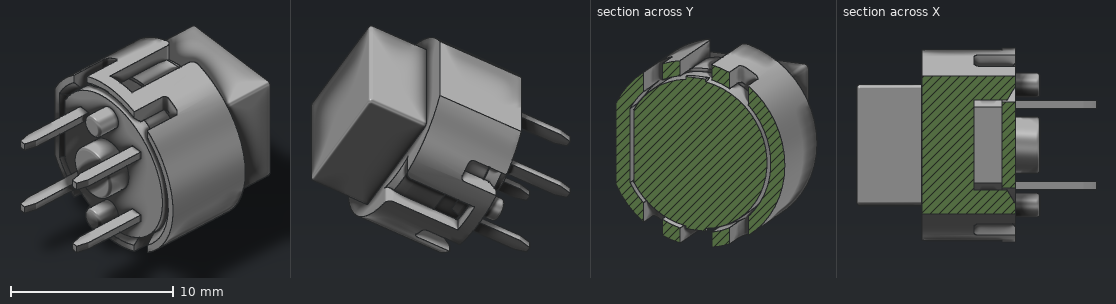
import cadquery as cq


housing_radius = 6.0
flat_distance = 5.39
housing_length = 5.8
wall = 0.98
rim_chamfer = 0.52

flange_clearance = 0.05
flange_length = 0.85
neck_step = 0.22
neck_end = 2.56
pad_end = 4.68
taper_end = 5.39
taper_drop = 0.1
back_drop = 0.3

window_width = 2.1
window_start = flange_length
window_corner = housing_length - taper_end

wedge_ridge = 1.07
wedge_end = 1.57
wedge_base_width = 1.35
wedge_tip_width = 1.17
wedge_top = 4.93

notch_center = 2.89
notch_width = 1.26
notch_corner = 0.3
notch_floor = 2.96

cap_side = 7.49
cap_height = 4.0
cap_corner = 0.3
cap_edge = 0.2

center_peg_diameter = 3.5
side_peg_diameter = 1.5
side_peg_offset = 3.7
peg_height = 1.5
peg_round = 0.19

pin_offset = 2.5
pin_length = 5.0
pin_width = 0.8
pin_tip_width = 0.4
pin_tip_length = 0.8
pin_thickness = 0.52

bore_radius = housing_radius - wall
neck_radius = bore_radius - neck_step
flange_radius = bore_radius - flange_clearance
SIDES = (-1, 1)


def inside_of_flat(inset):
    """Large block on the axis side of the flat, moved inward by the inset."""
    size = 3 * housing_radius
    block = cq.Workplane("XY").box(size, size, size, centered=(False, True, True))
    return block.translate((inset - flat_distance, 0, 0))


def flatted_disc(radius, length, inset):
    """Disc from the rim plane toward +Y, with a flat moved inward by the inset."""
    disc = cq.Workplane("XZ").circle(radius).extrude(-length)
    return disc.intersect(inside_of_flat(inset))


def make_shell():
    """Cup with a bevelled rim, closed behind the neck of the body."""
    outside = flatted_disc(housing_radius, housing_length, 0)
    bore = flatted_disc(bore_radius, neck_end, wall)
    shell = outside.cut(bore)
    rim_wire = shell.faces("<Y").val().innerWires()[0]
    return shell.newObject(rim_wire.Edges()).chamfer(rim_chamfer)


def window_cutter(side):
    """Slot open at the back of the shell, flaring there over rounded corners."""
    half = window_width / 2
    back = housing_length
    profile = (
        cq.Workplane("XY")
        .moveTo(-half, window_start)
        .lineTo(half, window_start)
        .lineTo(half, back - window_corner)
        .radiusArc((half + window_corner, back), window_corner)
        .lineTo(-half - window_corner, back)
        .radiusArc((-half, back - window_corner), window_corner)
        .close()
    )
    return profile.extrude(side * housing_radius).translate((0, 0, side * cap_side / 2))


def notch_cutter(x_side, z_side):
    """Slot open at the rim, with round corners at its closed end."""
    height = housing_radius - notch_floor
    return (
        cq.Workplane("XY")
        .box(notch_width, 2 * neck_end, height)
        .edges("|Z and >Y")
        .fillet(notch_corner)
        .translate((x_side * notch_center, 0, z_side * (notch_floor + height / 2)))
    )


def make_body():
    """Stepped core: flange, neck, and a seat that fills the shell bore."""
    flange = flatted_disc(flange_radius, flange_length, wall + flange_clearance)
    taper_radius = bore_radius - taper_drop
    core = (
        cq.Workplane("XY")
        .lineTo(neck_radius, 0)
        .lineTo(neck_radius, neck_end)
        .lineTo(bore_radius, neck_end)
        .lineTo(bore_radius, pad_end)
        .lineTo(taper_radius, taper_end)
        .lineTo(taper_radius - back_drop, housing_length)
        .lineTo(0, housing_length)
        .close()
        .revolve(360, (0, 0), (0, 1))
    )
    return flange.union(core.intersect(inside_of_flat(wall + neck_step)))


def make_wedge(side):
    """Snap wedge behind the flange, sloping down to the neck."""
    plan = (
        cq.Workplane("XY")
        .moveTo(-wedge_base_width / 2, 0)
        .lineTo(wedge_base_width / 2, 0)
        .lineTo(wedge_base_width / 2, wedge_ridge)
        .lineTo(wedge_tip_width / 2, wedge_end)
        .lineTo(-wedge_tip_width / 2, wedge_end)
        .lineTo(-wedge_base_width / 2, wedge_ridge)
        .close()
        .extrude(side * flange_radius)
    )
    slope = (
        cq.Workplane("YZ")
        .moveTo(flange_length / 2, 0)
        .lineTo(flange_length / 2, side * neck_radius)
        .lineTo(flange_length, side * wedge_top)
        .lineTo(wedge_ridge, side * wedge_top)
        .lineTo(wedge_end, side * neck_radius)
        .lineTo(wedge_end, 0)
        .close()
        .extrude(wedge_base_width, both=True)
    )
    return plan.intersect(slope)


def make_cap():
    """Square cap with rounded edges, rooted in the body."""
    return (
        cq.Workplane("XZ", origin=(0, pad_end, 0))
        .rect(cap_side, cap_side)
        .extrude(pad_end - housing_length - cap_height)
        .edges("|Y")
        .fillet(cap_corner)
        .faces(">Y")
        .edges()
        .fillet(cap_edge)
    )


def make_peg(diameter, z):
    """Round peg with a rounded end, rooted in the flange."""
    return (
        cq.Workplane("XZ", origin=(0, flange_length, z))
        .circle(diameter / 2)
        .extrude(flange_length + peg_height)
        .faces("<Y")
        .edges()
        .fillet(peg_round)
    )


def make_pin(x, z):
    """Flat pin with a tapered tip, rooted in the flange."""
    return (
        cq.Workplane("XY")
        .moveTo(-pin_width / 2, flange_length)
        .lineTo(-pin_width / 2, pin_tip_length - pin_length)
        .lineTo(-pin_tip_width / 2, -pin_length)
        .lineTo(pin_tip_width / 2, -pin_length)
        .lineTo(pin_width / 2, pin_tip_length - pin_length)
        .lineTo(pin_width / 2, flange_length)
        .close()
        .extrude(pin_thickness / 2, both=True)
        .translate((x, 0, z))
    )


result = make_shell()
for z_side in SIDES:
    result = result.cut(window_cutter(z_side))
    for x_side in SIDES:
        result = result.cut(notch_cutter(x_side, z_side))

result = result.union(make_body()).union(make_cap())
result = result.union(make_peg(center_peg_diameter, 0))
for z_side in SIDES:
    result = result.union(make_wedge(z_side))
    result = result.union(make_peg(side_peg_diameter, z_side * side_peg_offset))
    for x_side in SIDES:
        result = result.union(make_pin(x_side * pin_offset, z_side * pin_offset))